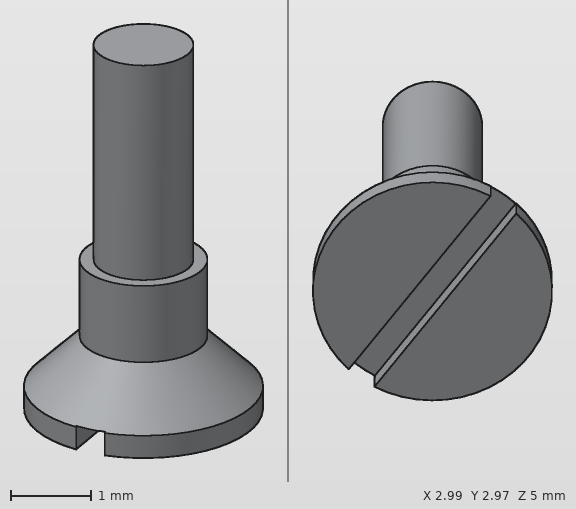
import cadquery as cq

total_height = 5.0
rim_height = 0.31
head_height = 1.0
collar_top = 2.05

head_diameter = 2.99
collar_diameter = 1.6
pin_diameter = 1.25

slot_width = 0.4
slot_depth = 0.32


def turned_body():
    """Revolve the half profile of head, collar and pin about Z."""
    head_radius = head_diameter / 2
    collar_radius = collar_diameter / 2
    pin_radius = pin_diameter / 2
    return (
        cq.Workplane("XZ")
        .moveTo(0, 0)
        .lineTo(head_radius, 0)
        .lineTo(head_radius, rim_height)
        .lineTo(collar_radius, head_height)
        .lineTo(collar_radius, collar_top)
        .lineTo(pin_radius, collar_top)
        .lineTo(pin_radius, total_height)
        .lineTo(0, total_height)
        .close()
        .revolve(360, (0, 0, 0), (0, 1, 0))
    )


def driver_slot():
    """Straight slot through the full width of the head."""
    return cq.Workplane("XY").box(
        slot_width, head_diameter, slot_depth, centered=(True, True, False)
    )


result = turned_body().cut(driver_slot())